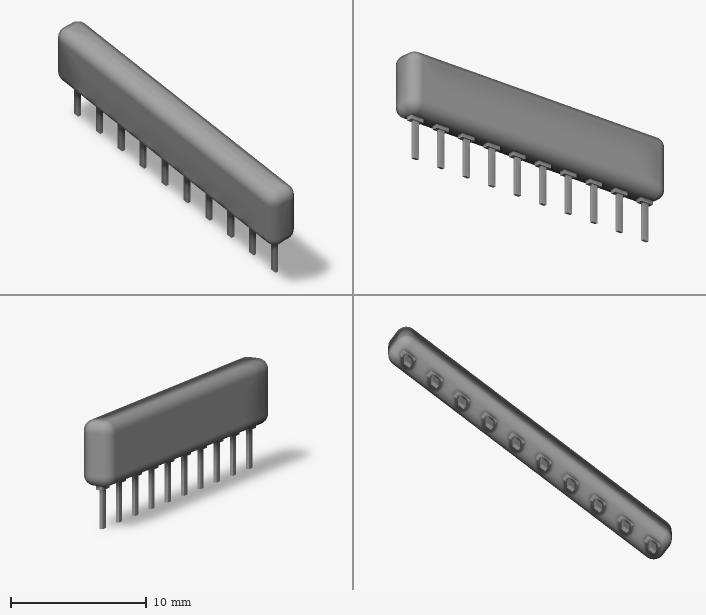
import cadquery as cq

BODY_LENGTH = 25.4
BODY_DEPTH = 2.5
BODY_HEIGHT = 5.0
BODY_EDGE_RADIUS = 0.85

PIN_COUNT = 10
PIN_PITCH = 2.55
PIN_WIDTH = 0.5
PIN_THICKNESS = 0.25

SHOULDER_WIDTH = 1.17
SHOULDER_DEPTH = 0.5
SHOULDER_HEIGHT = 0.3

POST_EMBED = BODY_EDGE_RADIUS

OVERALL_HEIGHT = 8.3
PIN_DROP = OVERALL_HEIGHT - BODY_HEIGHT


def make_body():
    """Box with every edge rounded by the same radius."""
    block = cq.Workplane("XY").box(
        BODY_LENGTH, BODY_DEPTH, BODY_HEIGHT, centered=(True, True, False)
    )
    return block.edges().fillet(BODY_EDGE_RADIUS)


def add_row(part, width, depth, drop):
    """Add a rectangular post at every pin position, reaching drop below the body underside."""
    posts = (
        cq.Workplane("XY", origin=(0, 0, POST_EMBED))
        .rarray(PIN_PITCH, 0.25, PIN_COUNT, 1)
        .rect(width, depth)
        .extrude(-(POST_EMBED + drop))
    )
    return part.union(posts)


result = make_body()
result = add_row(result, SHOULDER_WIDTH, SHOULDER_DEPTH, SHOULDER_HEIGHT)
result = add_row(result, PIN_WIDTH, PIN_THICKNESS, PIN_DROP)